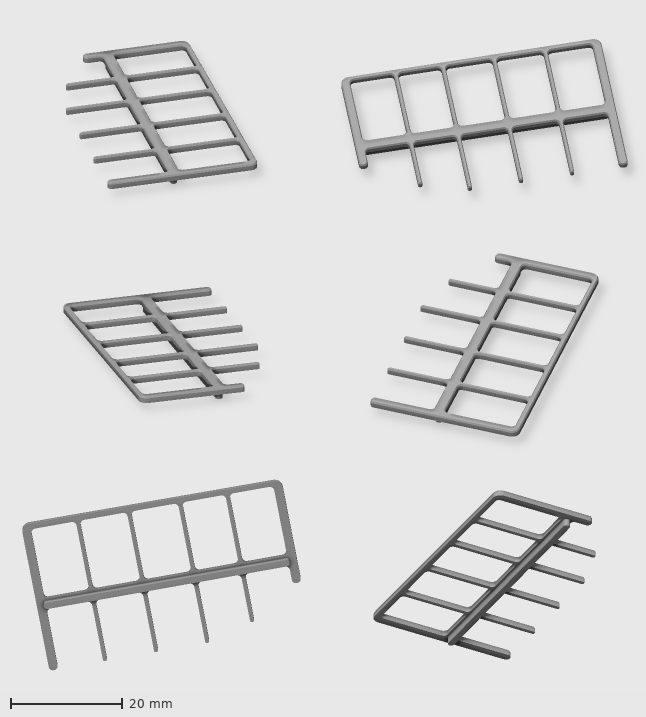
import cadquery as cq

frame_width = 47.6
back_right_y = 14.02
back_drop = 0.22
frame_thickness = 1.2
back_corner_radius = 1.5
rail_width = 1.6
rail_tip_radius = 0.7
inner_radius = 0.8
chamfer_height = 0.3
chamfer_width = 0.2

window_back_y = 12.9
spine_back_y = -0.4
spine_front_y = -2.43

divider_width = 0.75
tooth_tip_radius = 0.3
divider_xs = [-13.75, -5.1, 4.25, 13.6]

long_tip_y = -14.01
short_tooth_tip_y = -11.62
left_rail_tip_y = -5.86
tooth_tip_ys = [short_tooth_tip_y, long_tip_y, long_tip_y, long_tip_y]

rib_length = 45.0
rib_width = 1.2
rib_height = 1.4

right_x = frame_width / 2
left_x = -right_x
rail_center_x = right_x - rail_width / 2
spine_center_y = (spine_back_y + spine_front_y) / 2
selection_margin = 0.1


def upright_edges_in(x_from, x_to, y_from, y_to):
    """Selector for the vertical edges that lie within an XY region, its border included."""
    box = cq.selectors.BoxSelector(
        (x_from - selection_margin, y_from - selection_margin, 0),
        (x_to + selection_margin, y_to + selection_margin, frame_thickness),
    )
    return cq.selectors.AndSelector(cq.selectors.ParallelDirSelector(cq.Vector(0, 0, 1)), box)


def make_finger(center_x, tip_y, width, tip_radius):
    """Bar running forward from the middle of the spine, with rounded tip corners."""
    length = spine_center_y - tip_y
    return (
        cq.Workplane("XY")
        .box(width, length, frame_thickness, centered=(True, False, False))
        .edges("|Z and <Y")
        .fillet(tip_radius)
        .translate((center_x, tip_y, 0))
    )


def make_window(x_from, x_to):
    """Through cutter for one window, with rounded corners."""
    return (
        cq.Workplane("XY")
        .box(x_to - x_from, window_back_y - spine_back_y, frame_thickness, centered=False)
        .edges("|Z")
        .fillet(inner_radius)
        .translate((x_from, spine_back_y, 0))
    )


def make_frame():
    """Windowed plate with rails and teeth, chamfered round its top edges."""
    plate = (
        cq.Workplane("XY")
        .polyline([
            (left_x, spine_front_y),
            (right_x, spine_front_y),
            (right_x, back_right_y),
            (left_x, back_right_y - back_drop),
        ])
        .close()
        .extrude(frame_thickness)
    )
    back_corners = upright_edges_in(left_x, right_x, spine_back_y, back_right_y)
    plate = plate.edges(back_corners).fillet(back_corner_radius)

    plate = plate.union(make_finger(-rail_center_x, left_rail_tip_y, rail_width, rail_tip_radius))
    plate = plate.union(make_finger(rail_center_x, long_tip_y, rail_width, rail_tip_radius))
    for center_x, tip_y in zip(divider_xs, tooth_tip_ys):
        plate = plate.union(make_finger(center_x, tip_y, divider_width, tooth_tip_radius))
    plate = plate.clean()

    inside_corners = upright_edges_in(
        left_x + rail_width / 2, right_x - rail_width / 2, spine_front_y, spine_front_y
    )
    plate = plate.edges(inside_corners).fillet(inner_radius)

    starts = [left_x + rail_width] + [x + divider_width / 2 for x in divider_xs]
    ends = [x - divider_width / 2 for x in divider_xs] + [right_x - rail_width]
    for x_from, x_to in zip(starts, ends):
        plate = plate.cut(make_window(x_from, x_to))

    return plate.faces(">Z").chamfer(chamfer_height, chamfer_width).solids()


def make_rib():
    """Round-ended rib that hangs below the spine."""
    return (
        cq.Workplane("XY")
        .center(0, spine_center_y)
        .slot2D(rib_length, rib_width)
        .extrude(-rib_height)
    )


frame = make_frame()
rib = make_rib()
result = cq.Compound.makeCompound([frame.val(), rib.val()])